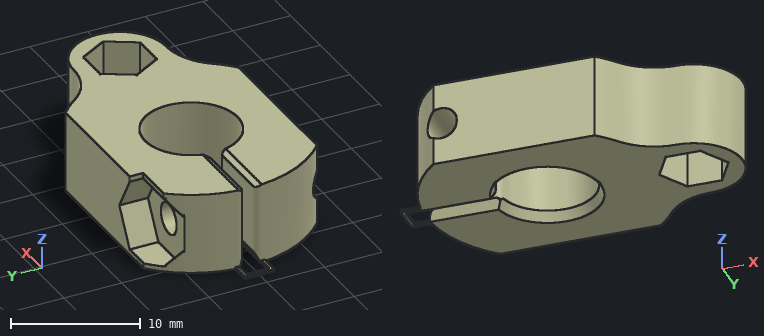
import cadquery as cq
import math

thickness = 7.0
half_width = 15.0 / 2
body_radius = 10.0
bore_radius = 4.0

lug_x = 12.0
lug_radius = 4.0
lug_hex_flats = 4.9

slot_half_width = 0.5
slot_edge_radius = 0.5
slot_top_bevel_width = 0.5
slot_top_bevel_height = 0.28
bottom_bevel_width = 0.4
bottom_bevel_height = 0.85

screw_x = -6.0
screw_z = thickness / 2
screw_diameter = 2.65
nut_flats = 6.05
nut_pocket_depth = 2.48
nut_notch_depth = 1.15

loop_tip_x = lug_x + lug_radius - 27.55
loop_half_width = 1.27
loop_bar_width = 0.3
loop_height = 0.2
loop_embedding = 1.1


def hex_corner_diameter(flats):
    return flats / math.cos(math.pi / 6)


def make_body():
    """Round body with two flat sides, blended into the lug by tangent arcs."""
    corner_x = math.sqrt(body_radius**2 - half_width**2)
    blend_radius = (lug_x**2 + lug_radius**2 - body_radius**2) / (2 * (body_radius - lug_radius))
    blend_y = lug_radius + blend_radius
    blend_angle = math.atan2(blend_y, lug_x)
    blend_start = (body_radius * math.cos(blend_angle), body_radius * math.sin(blend_angle))
    shoulder_angle = (blend_angle + math.atan2(half_width, corner_x)) / 2
    shoulder_middle = (body_radius * math.cos(shoulder_angle), body_radius * math.sin(shoulder_angle))
    blend_middle_angle = (blend_angle + math.pi + 3 * math.pi / 2) / 2
    blend_middle = (
        lug_x + blend_radius * math.cos(blend_middle_angle),
        blend_y + blend_radius * math.sin(blend_middle_angle),
    )

    def mirrored(point):
        return (point[0], -point[1])

    return (
        cq.Workplane("XY")
        .moveTo(-corner_x, half_width)
        .lineTo(corner_x, half_width)
        .threePointArc(shoulder_middle, blend_start)
        .threePointArc(blend_middle, (lug_x, lug_radius))
        .threePointArc((lug_x + lug_radius, 0), (lug_x, -lug_radius))
        .threePointArc(mirrored(blend_middle), mirrored(blend_start))
        .threePointArc(mirrored(shoulder_middle), (corner_x, -half_width))
        .lineTo(-corner_x, -half_width)
        .threePointArc((-body_radius, 0), (-corner_x, half_width))
        .close()
        .extrude(thickness)
    )


def cut_bore_and_slot(body):
    bore = cq.Workplane("XY").circle(bore_radius).extrude(thickness)
    slot = cq.Workplane("XY").box(
        2 * body_radius, 2 * slot_half_width, thickness, centered=(True, True, False)
    ).translate((-body_radius, 0, 0))
    body = body.cut(bore).cut(slot)
    slot_edges = cq.selectors.BoxSelector(
        (-2 * body_radius, -2 * slot_half_width, 0),
        (0, 2 * slot_half_width, thickness),
    )
    return body.edges("|Z").edges(slot_edges).fillet(slot_edge_radius)


def cut_bevels(body):
    """Bevel the slot at top and bottom, and the bore at the bottom."""
    top_half_width = slot_half_width + slot_top_bevel_width
    bottom_half_width = slot_half_width + bottom_bevel_width
    top_bevel_z = thickness - slot_top_bevel_height
    slot_bevels = (
        cq.Workplane("YZ")
        .polyline([
            (-bottom_half_width, 0),
            (bottom_half_width, 0),
            (slot_half_width, bottom_bevel_height),
            (slot_half_width, top_bevel_z),
            (top_half_width, thickness),
            (-top_half_width, thickness),
            (-slot_half_width, top_bevel_z),
            (-slot_half_width, bottom_bevel_height),
        ])
        .close()
        .extrude(-2 * body_radius)
    )
    bore_bevel = cq.Workplane(cq.Solid.makeCone(
        bore_radius + bottom_bevel_width, bore_radius, bottom_bevel_height
    ))
    return body.cut(slot_bevels).cut(bore_bevel)


def cut_lug_hex(body):
    lug_hex = (
        cq.Workplane("XY")
        .center(lug_x, 0)
        .polygon(6, hex_corner_diameter(lug_hex_flats))
        .extrude(thickness)
    )
    return body.cut(lug_hex)


def cut_screw_and_nut(body):
    """Cut the screw hole, the nut pocket and the notch joining the pocket to the top face."""
    side = cq.Workplane("XZ", origin=(screw_x, half_width, screw_z))
    nut_corners = hex_corner_diameter(nut_flats)
    screw_hole = side.circle(screw_diameter / 2).extrude(2 * half_width)
    nut_pocket = side.polygon(6, nut_corners).extrude(nut_pocket_depth)
    notch = (
        side.center(0, thickness / 4)
        .rect(nut_corners / 2, thickness / 2)
        .extrude(nut_notch_depth)
    )
    return body.cut(screw_hole).cut(nut_pocket).cut(notch)


def make_loop():
    """U-shaped flat strip whose two legs run into the body beside the slot."""
    length = -body_radius + loop_embedding - loop_tip_x
    inner_half_width = loop_half_width - loop_bar_width
    outer = cq.Workplane("XY").box(
        length, 2 * loop_half_width, loop_height, centered=(False, True, False)
    )
    inner = cq.Workplane("XY").box(
        length, 2 * inner_half_width, loop_height, centered=(False, True, False)
    ).translate((loop_bar_width, 0, 0))
    return outer.cut(inner).translate((loop_tip_x, 0, 0))


body = cut_bore_and_slot(make_body())
body = cut_bevels(body)
body = cut_lug_hex(body)
body = cut_screw_and_nut(body)
result = body.union(make_loop())